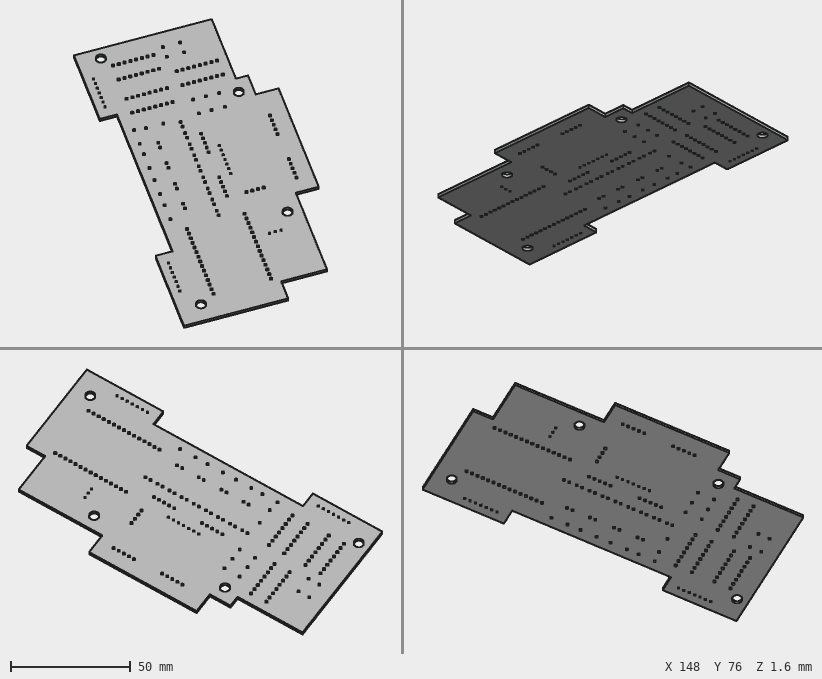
import cadquery as cq

board_length = 148.0
board_width = 76.0
board_thickness = 1.6

foot_height = 7.5
left_foot_end = 34.8
right_foot_start = 109.7
left_shoulder_height = 60.7
left_step_x = 32.5
upper_shoulder_height = 66.0
crown_start = 42.9
crown_end = 96.8
right_step_x = 138.7
right_shoulder_height = 45.9

mount_diameter = 4.3
fine_diameter = 0.75
lead_diameter = 1.0
socket_diameter = 1.1

long_header_pins = 15
long_header_span = 35.5
pitch = long_header_span / (long_header_pins - 1)
wide_pitch = 3 * pitch

mount_points = [(5.0, 10.2), (139.5, 10.2), (39.5, 59.6), (105.1, 59.6)]

socket_pins_per_row = 8
socket_starts = [(10.0, 13.9), (28.3, 13.9), (21.2, 38.3)]

long_header_x = 100.5
long_header_y = 16.9
long_header_row_spacing = 10 * pitch

pins_per_terminal = 2
terminal_count = 9
terminal_spacing = 6.0
terminal_x = 46.8
terminal_y = 31.7

five_pin_count = 5
five_pin_starts = [(55.2, 68.2), (79.2, 68.7), (55.2, 37.9), (79.2, 38.0)]
seven_pin_count = 7
seven_pin_starts = [(14.2, 4.0), (115.0, 4.0), (63.5, 43.2)]
four_pin_count = 4
four_pin_start = (90.0, 46.5)
three_pin_count = 3
three_pin_start = (113.4, 49.0)

lead_count = 2
flat_lead_starts = [(37.5, 51.7), (37.3, 45.9), (37.3, 40.3)]
upright_lead_start = (45.3, 16.9)
left_lead_starts = [(7.4, 36.7), (12.7, 36.7)]
capacitor_y = 19.4
capacitor_starts = [54.2, 65.3, 76.7, 87.5]
lower_lead_y = 11.8
lower_lead_starts = [44.7, 57.9, 72.1, 85.8]


def row(start, count, spacing=pitch):
    """Points running along X from the start point."""
    x, y = start
    return [(x + i * spacing, y) for i in range(count)]


def column(start, count, spacing=pitch):
    """Points running along Y from the start point."""
    x, y = start
    return [(x, y + i * spacing) for i in range(count)]


def make_board():
    """Flat plate with the stepped outline."""
    outline = [
        (0, 0),
        (left_foot_end, 0),
        (left_foot_end, foot_height),
        (right_foot_start, foot_height),
        (right_foot_start, 0),
        (board_length, 0),
        (board_length, right_shoulder_height),
        (right_step_x, right_shoulder_height),
        (right_step_x, upper_shoulder_height),
        (crown_end, upper_shoulder_height),
        (crown_end, board_width),
        (crown_start, board_width),
        (crown_start, upper_shoulder_height),
        (left_step_x, upper_shoulder_height),
        (left_step_x, left_shoulder_height),
        (0, left_shoulder_height),
    ]
    return cq.Workplane("XY").polyline(outline).close().extrude(board_thickness)


def drills(points, diameter):
    """Cylinders through the full thickness at the given points."""
    return cq.Workplane("XY").pushPoints(points).circle(diameter / 2).extrude(board_thickness)


socket_points = column(four_pin_start, four_pin_count)
for x, y in socket_starts:
    for row_x in (x, x + wide_pitch):
        socket_points += column((row_x, y), socket_pins_per_row)
for y in (long_header_y, long_header_y + long_header_row_spacing):
    socket_points += row((long_header_x, y), long_header_pins)

lead_points = column(upright_lead_start, lead_count, wide_pitch)
for start in row((terminal_x, terminal_y), terminal_count, terminal_spacing):
    lead_points += row(start, pins_per_terminal)
for start in five_pin_starts:
    lead_points += row(start, five_pin_count)
for start in flat_lead_starts:
    lead_points += row(start, lead_count, wide_pitch)
for start in left_lead_starts:
    lead_points += column(start, lead_count, wide_pitch)
for x in capacitor_starts:
    lead_points += row((x, capacitor_y), lead_count)
for x in lower_lead_starts:
    lead_points += row((x, lower_lead_y), lead_count, wide_pitch)

fine_points = column(three_pin_start, three_pin_count)
for start in seven_pin_starts:
    fine_points += row(start, seven_pin_count)

result = (
    make_board()
    .cut(drills(mount_points, mount_diameter))
    .cut(drills(socket_points, socket_diameter))
    .cut(drills(lead_points, lead_diameter))
    .cut(drills(fine_points, fine_diameter))
)